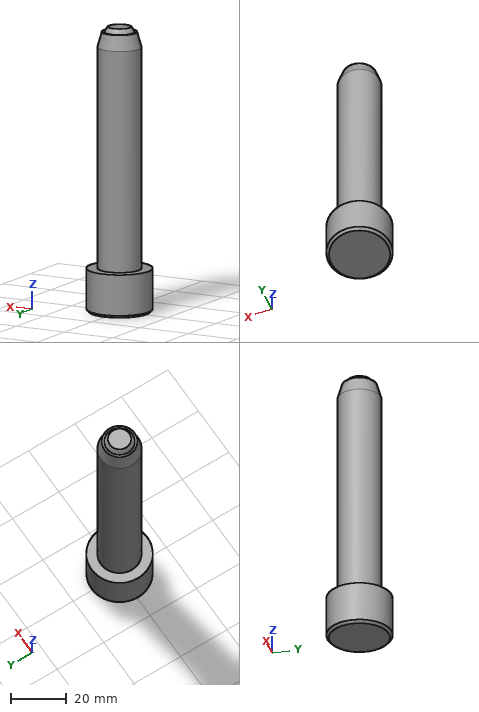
import cadquery as cq
import math

total_length = 105.0
head_diameter = 24.0
head_height = 16.0
head_chamfer = 1.0
shank_diameter = 16.0

cone_height = 5.5
cone_end_diameter = 12.8
nose_diameter = 11.0
nose_height = 1.9
nose_ball_radius = 6.0

head_radius = head_diameter / 2
shank_radius = shank_diameter / 2
cone_end_radius = cone_end_diameter / 2
nose_radius = nose_diameter / 2
head_bottom = -head_height
tip_top = head_bottom + total_length
ledge_level = tip_top - nose_height
cone_start = ledge_level - cone_height


def make_head_and_shank():
    """Revolve the chamfered head, the shank and the cone as one body."""
    half_profile = (
        cq.Workplane("XZ")
        .moveTo(0, head_bottom)
        .lineTo(head_radius - head_chamfer, head_bottom)
        .lineTo(head_radius, head_bottom + head_chamfer)
        .lineTo(head_radius, 0)
        .lineTo(shank_radius, 0)
        .lineTo(shank_radius, cone_start)
        .lineTo(cone_end_radius, ledge_level)
        .lineTo(0, ledge_level)
        .close()
    )
    return half_profile.revolve(360, (0, 0, 0), (0, 1, 0))


def make_nose():
    """Revolve a slice of a ball centred on the axis, standing on the ledge and cut flat on top."""
    ball_centre = ledge_level - math.sqrt(nose_ball_radius**2 - nose_radius**2)
    nose_flat_radius = math.sqrt(nose_ball_radius**2 - (tip_top - ball_centre) ** 2)
    middle_level = ledge_level + nose_height / 2
    middle_radius = math.sqrt(nose_ball_radius**2 - (middle_level - ball_centre) ** 2)
    half_profile = (
        cq.Workplane("XZ")
        .moveTo(0, ledge_level)
        .lineTo(nose_radius, ledge_level)
        .threePointArc((middle_radius, middle_level), (nose_flat_radius, tip_top))
        .lineTo(0, tip_top)
        .close()
    )
    return half_profile.revolve(360, (0, 0, 0), (0, 1, 0))


result = make_head_and_shank().union(make_nose())